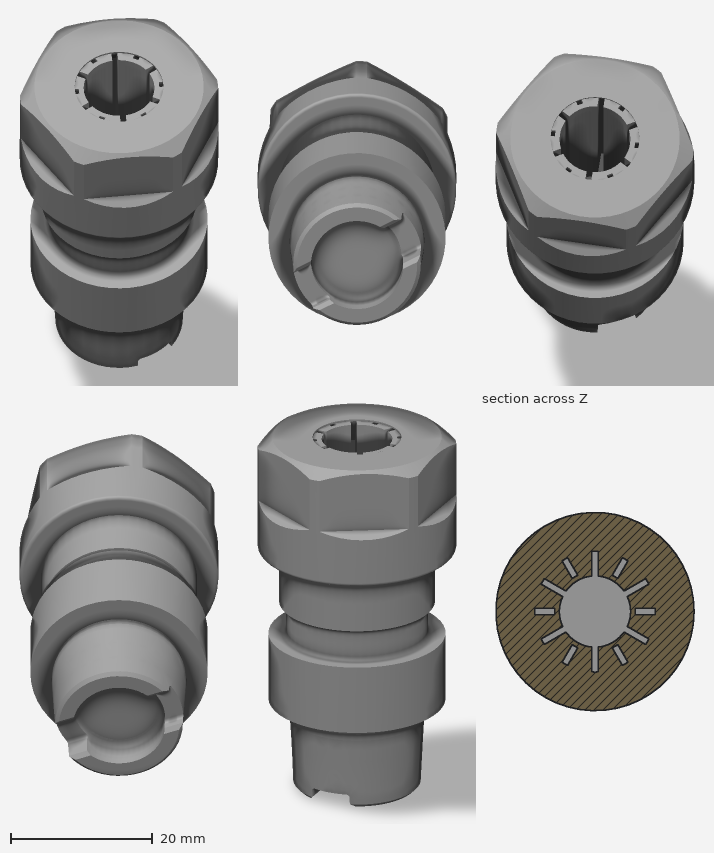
import cadquery as cq
import math


total_height = 53.05
nut_bottom = 36.1
stem_bottom = 27.95
flange_top = 23.05
flange_bottom = 13.0
neck_bottom = 12.8
taper_land_top = 11.5
taper_start = 10.5

nut_diameter = 28.0
hex_sides = 6
hex_across_flats = 25.0
hex_bottom = 44.1
nut_top_diameter = 23.9
nut_slope_angle = math.radians(30)
nut_bottom_radius = 0.5

stem_diameter = 22.0
groove_diameter = 20.0
groove_fillet = 0.65
relief_top_diameter = 21.2
relief_bottom_diameter = 20.5
relief_height = 0.3
relief_fillet_height = 0.5
flange_diameter = 25.0

neck_diameter = 18.4
taper_diameter = 19.0
taper_ratio = 0.1
shank_chamfer = 0.505
shank_bore_diameter = 13.0
shank_bore_straight_depth = 3.4
shank_bore_end_radius = 1.0
drive_slot_width = 5.85
deep_slot_depth = 4.05
shallow_slot_depth = 2.0
slot_corner_radius = 0.5
slot_mouth_chamfer = 0.6

collet_diameter = 12.5
collet_bore_diameter = 10.0
collet_body_diameter = 17.0
collet_nose_angle = math.radians(30)
collet_face_recess = 0.25
collet_depth = 27.6
collet_slit_width = 0.85
collet_notch_depth = 0.6
collet_slit_count = 6


def make_body():
    """Stem, groove, flange and taper shank as one turned solid."""
    stem_r = stem_diameter / 2
    groove_r = groove_diameter / 2
    flange_r = flange_diameter / 2
    neck_r = neck_diameter / 2
    taper_r = taper_diameter / 2
    shank_end_r = taper_r - taper_ratio * (taper_start - shank_chamfer) / 2
    relief_bottom = stem_bottom - relief_height
    fillet_bulge = groove_fillet * (1 - math.sqrt(0.5))
    return (
        cq.Workplane("XZ")
        .moveTo(0, 0)
        .lineTo(shank_end_r - shank_chamfer, 0)
        .lineTo(shank_end_r, shank_chamfer)
        .lineTo(taper_r, taper_start)
        .lineTo(taper_r, taper_land_top)
        .lineTo(neck_r, neck_bottom)
        .lineTo(neck_r, flange_bottom)
        .lineTo(flange_r, flange_bottom)
        .lineTo(flange_r, flange_top)
        .lineTo(groove_r + groove_fillet, flange_top)
        .threePointArc(
            (groove_r + fillet_bulge, flange_top + fillet_bulge),
            (groove_r, flange_top + groove_fillet),
        )
        .lineTo(groove_r, relief_bottom - relief_fillet_height)
        .tangentArcPoint((relief_bottom_diameter / 2, relief_bottom), relative=False)
        .lineTo(relief_top_diameter / 2, stem_bottom)
        .lineTo(stem_r, stem_bottom)
        .lineTo(stem_r, nut_bottom)
        .lineTo(0, nut_bottom)
        .close()
        .revolve(360, (0, 0, 0), (0, 1, 0))
    )


def make_nut():
    """Round nut with a conical top edge and six flats that end in sloping shoulders."""
    nut_r = nut_diameter / 2
    top_r = nut_top_diameter / 2
    cone_height = (nut_r - top_r) * math.tan(nut_slope_angle)
    nut = (
        cq.Workplane("XZ")
        .moveTo(0, nut_bottom)
        .lineTo(nut_r, nut_bottom)
        .lineTo(nut_r, total_height - cone_height)
        .lineTo(top_r, total_height)
        .lineTo(0, total_height)
        .close()
        .revolve(360, (0, 0, 0), (0, 1, 0))
        .faces("<Z")
        .edges()
        .fillet(nut_bottom_radius)
    )
    flat_x = hex_across_flats / 2
    cut_width = flat_x
    flat_cutter = (
        cq.Workplane("XZ")
        .moveTo(flat_x, hex_bottom)
        .lineTo(flat_x + cut_width, hex_bottom - cut_width * math.tan(nut_slope_angle))
        .lineTo(flat_x + cut_width, total_height)
        .lineTo(flat_x, total_height)
        .close()
        .extrude(nut_r, both=True)
    )
    pitch = 360 / hex_sides
    for side in range(hex_sides):
        nut = nut.cut(flat_cutter.rotate((0, 0, 0), (0, 0, 1), (side + 0.5) * pitch))
    return nut


def make_shank_bore():
    """Blind bore in the shank end with a rounded inner corner."""
    depth = shank_bore_straight_depth + shank_bore_end_radius
    bore = cq.Workplane("XY").circle(shank_bore_diameter / 2).extrude(depth)
    return bore.faces(">Z").edges().fillet(shank_bore_end_radius)


def make_drive_slot(depth, direction):
    """Slot from the axis out through the shank wall, with rounded roof and flared mouth."""
    half_width = drive_slot_width / 2
    slot = (
        cq.Workplane("YZ")
        .moveTo(-half_width - slot_mouth_chamfer, 0)
        .lineTo(-half_width, slot_mouth_chamfer)
        .lineTo(-half_width, depth)
        .lineTo(half_width, depth)
        .lineTo(half_width, slot_mouth_chamfer)
        .lineTo(half_width + slot_mouth_chamfer, 0)
        .close()
        .extrude(direction * taper_diameter)
    )
    return slot.edges("|X").edges(">Z").fillet(slot_corner_radius)


def make_collet_envelope():
    """Collet outline: a cylinder behind a conical nose, set below the nut face."""
    nose_r = collet_diameter / 2
    body_r = collet_body_diameter / 2
    nose_height = (body_r - nose_r) / math.tan(collet_nose_angle)
    floor = total_height - collet_depth
    face = total_height - collet_face_recess
    return (
        cq.Workplane("XZ")
        .moveTo(0, floor)
        .lineTo(body_r, floor)
        .lineTo(body_r, face - nose_height)
        .lineTo(nose_r, face)
        .lineTo(0, face)
        .close()
        .revolve(360, (0, 0, 0), (0, 1, 0))
    )


def make_collet_cut():
    """Collet bore and face recess, with slits through the collet wall and notches between them."""
    floor = total_height - collet_depth
    face = total_height - collet_face_recess
    envelope = make_collet_envelope()
    bore = cq.Workplane("XY", origin=(0, 0, floor)).circle(collet_bore_diameter / 2).extrude(collet_depth)
    face_recess = cq.Workplane("XY", origin=(0, 0, face)).circle(collet_diameter / 2).extrude(collet_face_recess)
    cutter = bore.union(face_recess)

    def radial_gap(inner_radius, angle):
        """Radial slice of the collet from the given radius outwards."""
        gap = (
            cq.Workplane("XY", origin=(inner_radius, 0, floor))
            .box(collet_body_diameter, collet_slit_width, collet_depth, centered=(False, True, False))
            .intersect(envelope)
        )
        return gap.rotate((0, 0, 0), (0, 0, 1), angle)

    pitch = 360 / collet_slit_count
    notch_inner_r = collet_diameter / 2 - collet_notch_depth
    for index in range(collet_slit_count):
        cutter = cutter.union(radial_gap(0, (index + 0.5) * pitch))
        cutter = cutter.union(radial_gap(notch_inner_r, index * pitch))
    return cutter


result = (
    make_body()
    .union(make_nut())
    .cut(make_shank_bore())
    .cut(make_drive_slot(deep_slot_depth, -1))
    .cut(make_drive_slot(shallow_slot_depth, 1))
    .cut(make_collet_cut())
)